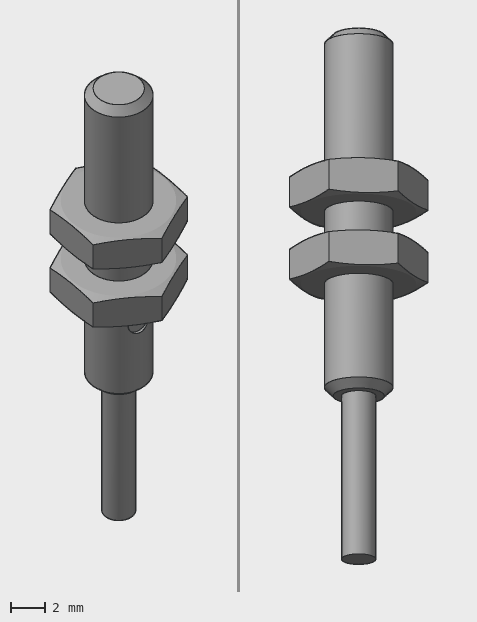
import cadquery as cq
import math

total_length = 32.0
barrel_length = 22.0
barrel_diameter = 4.0
barrel_radius = barrel_diameter / 2
barrel_chamfer = 0.5
barrel_bottom = total_length - barrel_length
cable_diameter = barrel_diameter / 2

window_diameter = 1.5
window_depth = 0.2
window_height = 15.52

nut_across_flats = 7.0
nut_across_corners = nut_across_flats / math.cos(math.radians(30))
nut_thickness = 2.2
nut_face_radius = 3.35
nut_corner_drop = 0.2
nut_spacing = 4.4
upper_nut_bottom = 21.25
nut_bottoms = [upper_nut_bottom, upper_nut_bottom - nut_spacing]


def make_sensor():
    """Barrel chamfered at both ends, with the cable leaving its lower end."""
    barrel = (
        cq.Workplane("XY", origin=(0, 0, barrel_bottom))
        .circle(barrel_radius)
        .extrude(barrel_length)
        .faces("<Z or >Z")
        .chamfer(barrel_chamfer)
    )
    cable = cq.Workplane("XY").circle(cable_diameter / 2).extrude(barrel_bottom)
    window = (
        cq.Workplane("YZ", origin=(barrel_radius - window_depth, 0, window_height))
        .circle(window_diameter / 2)
        .extrude(barrel_radius)
    )
    return barrel.union(cable).cut(window)


def make_nut(bottom):
    """Hexagon nut with corners along X, conically chamfered on both faces."""
    hexagon = cq.Workplane("XY").polygon(6, nut_across_corners).extrude(nut_thickness)
    corner_radius = nut_across_corners / 2
    chamfer_envelope = (
        cq.Workplane("XZ")
        .moveTo(0, 0)
        .lineTo(nut_face_radius, 0)
        .lineTo(corner_radius, nut_corner_drop)
        .lineTo(corner_radius, nut_thickness - nut_corner_drop)
        .lineTo(nut_face_radius, nut_thickness)
        .lineTo(0, nut_thickness)
        .close()
        .revolve(360, (0, 0, 0), (0, 1, 0))
    )
    bore = cq.Workplane("XY").circle(barrel_radius).extrude(nut_thickness)
    return hexagon.intersect(chamfer_envelope).cut(bore).translate((0, 0, bottom))


sensor = make_sensor()
nuts = [make_nut(bottom) for bottom in nut_bottoms]

result = cq.Compound.makeCompound([sensor.val(), *[nut.val() for nut in nuts]])